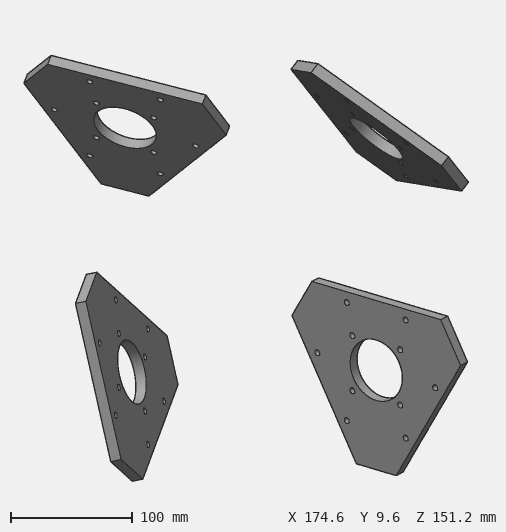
import cadquery as cq
import math

overall_width = 174.6
corner_edge = 41.2
thickness = 9.6

bore_diameter = 54.0
screw_hole_diameter = 5.0
outer_circle_radius = 61.0
outer_hole_count = 6
inner_circle_radius = 35.0
inner_hole_count = 4
inner_start_angle = 45.0

long_edge = overall_width - corner_edge
full_triangle_side = long_edge + 2 * corner_edge
centre_to_long_edge = full_triangle_side / (2 * math.sqrt(3))
plate_height = overall_width * math.sqrt(3) / 2
top_z = centre_to_long_edge
bottom_z = top_z - plate_height
side_corner_z = top_z - corner_edge * math.sqrt(3) / 2


def make_plate():
    """Six-sided plate in the XZ plane, with its thickness running along +Y."""
    outline = [
        (-long_edge / 2, top_z),
        (long_edge / 2, top_z),
        (overall_width / 2, side_corner_z),
        (corner_edge / 2, bottom_z),
        (-corner_edge / 2, bottom_z),
        (-overall_width / 2, side_corner_z),
    ]
    return cq.Workplane("XZ").polyline(outline).close().extrude(-thickness)


def hole_ring(radius, count, start_angle):
    """Cylinders for a ring of evenly spaced screw holes."""
    return (
        cq.Workplane("XZ")
        .polarArray(radius, start_angle, 360, count)
        .circle(screw_hole_diameter / 2)
        .extrude(-thickness)
    )


bore = cq.Workplane("XZ").circle(bore_diameter / 2).extrude(-thickness)

result = (
    make_plate()
    .cut(bore)
    .cut(hole_ring(outer_circle_radius, outer_hole_count, 0))
    .cut(hole_ring(inner_circle_radius, inner_hole_count, inner_start_angle))
)